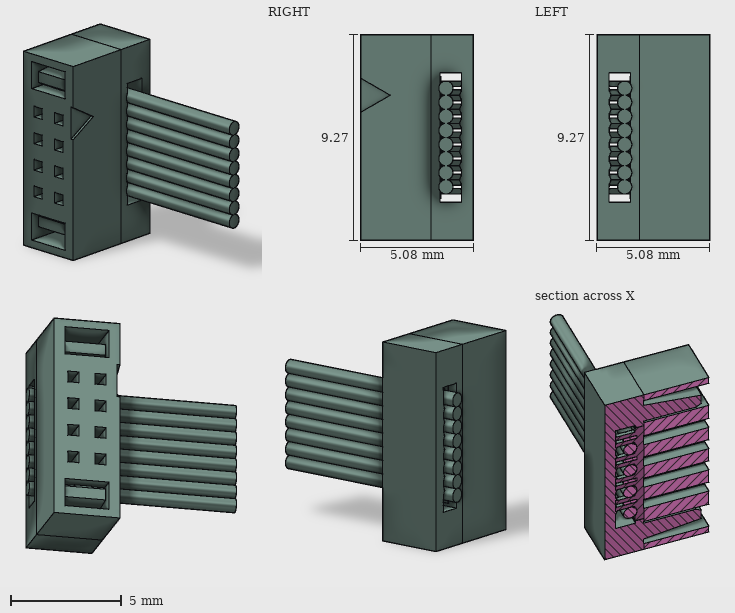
import cadquery as cq


width = 3.07
length = 9.27
housing_depth = 3.17
cover_depth = 1.91

cable_length = 9.65
cable_stub = 0.24
wire_count = 8
hole_span = 3.81
wire_pitch = hole_span / (wire_count - 2)
wire_diameter = 0.65
wire_y = 0.68
wire_zs = [(i - (wire_count - 1) / 2) * wire_pitch for i in range(wire_count)]

window_bottom = 0.415
window_top = 1.37
window_length = 5.82
groove_depth = 0.1
groove_radius = ((wire_pitch / 2) ** 2 + groove_depth ** 2) / (2 * groove_depth)

hole_size = 0.51
row_x = wire_pitch
hole_pitch = 2 * wire_pitch
holes_per_row = wire_count // 2
hole_zs = [(i - (holes_per_row - 1) / 2) * hole_pitch for i in range(holes_per_row)]

block_width = 2.12
block_length = 5.52
block_top = 0.44
blade_thickness = 0.17
inner_ledge = 0.04
fork_width = 0.65
fork_slot = 0.135
tip_height = 0.05
tip_inner_chamfer = 0.07
tip_outer_chamfer = 0.03

pocket_width = 2.05
pocket_outer_z = 4.27
pocket_inner_z = 2.97
pocket_step_z = 3.36
pocket_front_depth = 1.35
leg_width = 1.91
leg_tip_setback = 0.37
leg_tip_y = leg_tip_setback - housing_depth
leg_root_outer_z = 4.01
leg_tip_outer_z = 3.71
leg_tip_inner_z = 3.19
leg_inner_z = 3.04
leg_chamfer_length = 0.26
leg_rib_width = 0.8

mark_base = 1.53
mark_height = 1.33
mark_depth = 0.135


def box(x_min, x_max, y_min, y_max, z_min, z_max):
    size = (x_max - x_min, y_max - y_min, z_max - z_min)
    return cq.Workplane("XY").box(*size, centered=False).translate((x_min, y_min, z_min))


def centred_box(x_size, y_min, y_max, z_min, z_max):
    return box(-x_size / 2, x_size / 2, y_min, y_max, z_min, z_max)


def prism(points, x_min, x_max):
    """Solid between two X positions from an outline of (y, z) points."""
    outline = cq.Workplane("YZ", origin=(x_min, 0, 0)).polyline(points).close()
    return outline.extrude(x_max - x_min)


def rods(diameter, y, x_min, x_max):
    """Parallel rods along X, one at each wire position."""
    centres = [(y, z) for z in wire_zs]
    circles = cq.Workplane("YZ", origin=(x_min, 0, 0)).pushPoints(centres).circle(diameter / 2)
    return circles.extrude(x_max - x_min)


def both_ends(shape):
    return [shape, shape.mirror("XY")]


def make_wires():
    x_start = -width / 2 - cable_stub
    return rods(wire_diameter, wire_y, x_start, x_start + cable_length)


def make_fork(x_min, wire_z):
    """Forked blade whose two prongs straddle the core of one wire."""
    inner = fork_slot / 2
    outer = fork_width / 2
    fork = cq.Workplane()
    for side in (-1, 1):
        profile = [
            (block_top, inner),
            (window_top - tip_height, inner),
            (window_top, inner + tip_inner_chamfer),
            (window_top, outer - tip_outer_chamfer),
            (window_top - tip_height, outer),
            (0, outer),
            (0, inner),
        ]
        points = [(y, wire_z + side * z) for y, z in profile]
        fork = fork.add(prism(points, x_min, x_min + blade_thickness))
    return fork


def make_contact_block(wires):
    block = centred_box(block_width, 0, block_top, -block_length / 2, block_length / 2)
    block = block.cut(wires)
    outer_x = row_x + hole_size / 2
    for i, wire_z in enumerate(reversed(wire_zs)):
        x_min = -outer_x if i % 2 == 0 else outer_x - blade_thickness
        block = block.union(make_fork(x_min, wire_z))
    opening_inner = row_x - hole_size / 2 + inner_ledge
    opening_outer = outer_x - blade_thickness
    half = hole_size / 2
    for z in hole_zs:
        opening = box(opening_inner, opening_outer, 0, block_top, z - half, z + half)
        block = block.cut(opening).cut(opening.mirror("YZ"))
    return block


def make_latch_pocket():
    """Opening through the housing whose deep inward part is only as wide as the leg."""
    front_y = -housing_depth
    step_y = front_y + pocket_front_depth
    front = centred_box(pocket_width, front_y, step_y, pocket_inner_z, pocket_outer_z)
    outer_part = centred_box(pocket_width, front_y, 0, pocket_step_z, pocket_outer_z)
    inner_part = centred_box(leg_width, front_y, 0, pocket_inner_z, pocket_step_z)
    return front.union(outer_part).union(inner_part)


def make_mark():
    z = hole_zs[-1]
    front_y = -housing_depth
    points = [
        (front_y, z - mark_base / 2),
        (front_y, z + mark_base / 2),
        (front_y + mark_height, z),
    ]
    return prism(points, width / 2 - mark_depth, width / 2)


def make_housing():
    housing = centred_box(width, -housing_depth, 0, -length / 2, length / 2)
    half = hole_size / 2
    for x in (-row_x, row_x):
        for z in hole_zs:
            housing = housing.cut(box(x - half, x + half, -housing_depth, 0, z - half, z + half))
    for pocket in both_ends(make_latch_pocket()):
        housing = housing.cut(pocket)
    return housing.cut(make_mark())


def make_window():
    """Through window with a flat upper wall at both ends and grooves between."""
    half = window_length / 2
    full = centred_box(width, window_bottom, window_top, -half, half)
    window = centred_box(width, window_bottom, window_top - groove_depth, -half, half)
    for end in both_ends(centred_box(width, window_bottom, window_top, wire_zs[-1], half)):
        window = window.union(end)
    grooves = rods(2 * groove_radius, window_top - groove_radius, -width / 2, width / 2)
    for groove in grooves.vals():
        window = window.union(full.intersect(cq.Workplane(groove)))
    return window


def make_leg():
    """Latch leg with a tapered outer side, a chamfered tip and an inner rib."""
    chamfer_y = leg_tip_y + leg_chamfer_length
    half = leg_width / 2
    leg = prism(
        [
            (0, leg_root_outer_z),
            (leg_tip_y, leg_tip_outer_z),
            (leg_tip_y, leg_tip_inner_z),
            (chamfer_y, leg_inner_z),
            (0, leg_inner_z),
        ],
        -half,
        half,
    )
    rib_slope = leg_chamfer_length / (leg_tip_inner_z - leg_inner_z)
    rib_y = chamfer_y + rib_slope * (leg_inner_z - pocket_inner_z)
    rib = prism(
        [(0, leg_inner_z), (chamfer_y, leg_inner_z), (rib_y, pocket_inner_z), (0, pocket_inner_z)],
        -leg_rib_width / 2,
        leg_rib_width / 2,
    )
    return leg.union(rib)


def make_cover(wires, contact_block):
    cover = centred_box(width, 0, cover_depth, -length / 2, length / 2)
    cover = cover.cut(make_window()).cut(wires)
    recess = centred_box(block_width, 0, block_top, -block_length / 2, block_length / 2)
    cover = cover.cut(recess).cut(contact_block)
    for leg in both_ends(make_leg()):
        cover = cover.union(leg)
    return cover


wires = make_wires()
contact_block = make_contact_block(wires)
cable = wires.cut(contact_block)
housing = make_housing()
cover = make_cover(wires, contact_block)

result = cq.Compound.makeCompound(
    [housing.val(), cover.val(), contact_block.val(), cable.val()]
)